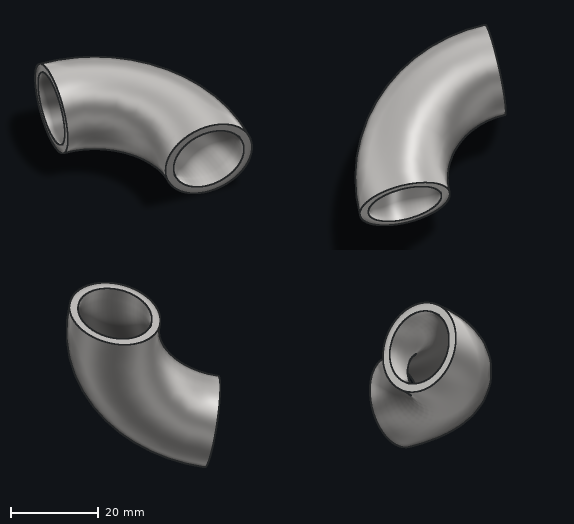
import cadquery as cq

overall_length = 38.65
outer_diameter = 21.3
wall_thickness = 2.0
bend_angle = 90.0

outer_radius = outer_diameter / 2
inner_radius = outer_radius - wall_thickness
bend_radius = overall_length - outer_radius


def pipe_elbow():
    """Sweep the pipe's ring section about the vertical bend axis at the origin.

    The section starts on the XZ plane at -X, facing -Y, and turns clockwise
    (seen from above) to end on the YZ plane, facing +X.
    """
    section = (
        cq.Workplane("XZ")
        .center(-bend_radius, 0)
        .circle(outer_radius)
        .circle(inner_radius)
    )
    axis_start = (bend_radius, 0)
    axis_end = (bend_radius, -1)
    return section.revolve(bend_angle, axis_start, axis_end)


result = pipe_elbow()